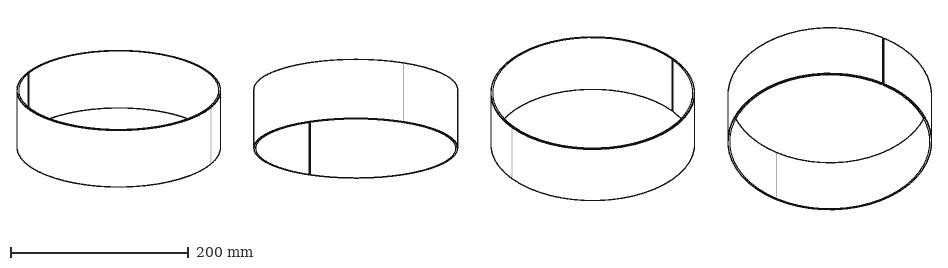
import cadquery as cq

outer_diameter = 230.0
height = 70.0
wall = 2.3
edge_chamfer = 0.5
gap_width = 1.8

outer_radius = outer_diameter / 2
inner_radius = outer_radius - wall

band = cq.Workplane("XY").circle(outer_radius).extrude(height)
band = band.faces("<Z or >Z").edges().chamfer(edge_chamfer)
bore = cq.Workplane("XY").circle(inner_radius).extrude(height)
band = band.cut(bore)

split = (
    cq.Workplane("XY")
    .box(outer_radius, gap_width, height, centered=(False, False, False))
    .translate((-outer_radius, 0, 0))
)

result = band.cut(split)